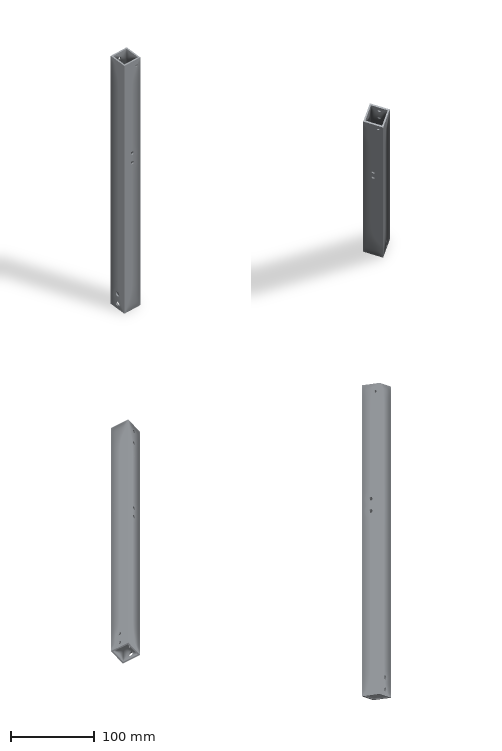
import cadquery as cq

LENGTH = 380.0
WIDTH = 25.0
WALL = 2.0
BORE = WIDTH - 2 * WALL

BOTTOM_MARGIN = 7.5
PAIR_SPACING = 15.0
TOP_PAIR_SPACING = 20.0
MIDDLE_PAIR_DROP = 140.2

SMALL_HOLE = 4.5
LARGE_HOLE = 6.5

OFFSET_HOLE = 3.5
OFFSET_HOLE_Y = 6.5

TOP_MARGIN = 10.0

TOP = LENGTH / 2
BOTTOM = -LENGTH / 2

bottom_heights = [BOTTOM + BOTTOM_MARGIN, BOTTOM + BOTTOM_MARGIN + PAIR_SPACING]
top_heights = [TOP - TOP_MARGIN, TOP - TOP_MARGIN - TOP_PAIR_SPACING]
middle_heights = [TOP - MIDDLE_PAIR_DROP, TOP - MIDDLE_PAIR_DROP - PAIR_SPACING]


def drill(axis, start, depth, diameter, heights):
    """Cutters through the tube axis at each height, running from start along +X or +Y."""
    direction = cq.Vector(1, 0, 0) if axis == "X" else cq.Vector(0, 1, 0)
    cutters = cq.Workplane()
    for height in heights:
        origin = direction * start + cq.Vector(0, 0, height)
        cutters = cutters.add(cq.Solid.makeCylinder(diameter / 2, depth, origin, direction))
    return cutters.combine()


tube = cq.Workplane().rect(WIDTH, WIDTH).rect(BORE, BORE).extrude(LENGTH / 2, both=True)

tube = tube.cut(drill("Y", -WIDTH / 2, WIDTH, SMALL_HOLE, bottom_heights))
tube = tube.cut(drill("Y", -WIDTH / 2, WIDTH / 2, LARGE_HOLE, bottom_heights))

tube = tube.cut(drill("X", -WIDTH / 2, WIDTH / 2, SMALL_HOLE, top_heights))

tube = tube.cut(drill("X", -WIDTH / 2, WIDTH, SMALL_HOLE, middle_heights))

offset_hole = drill("X", 0, WIDTH / 2, OFFSET_HOLE, [TOP - TOP_MARGIN])
tube = tube.cut(offset_hole.translate((0, OFFSET_HOLE_Y, 0)))

result = tube